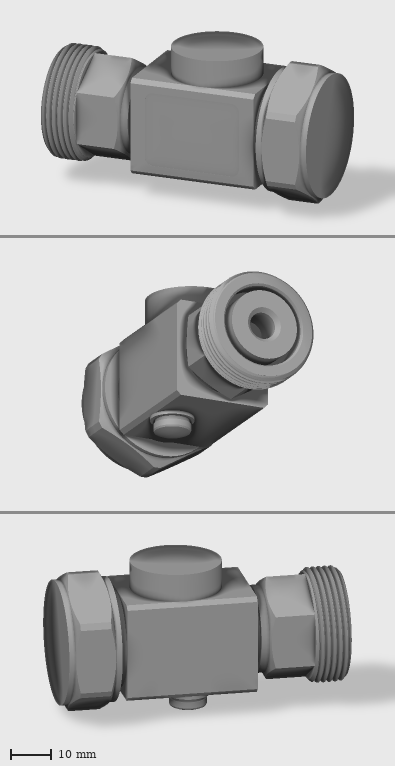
import cadquery as cq
import math


insert_face = 0.0
thread_start = 0.5
small_hex_start = 9.55
small_hex_end = 20.9
collar_end = 22.85
body_start = 24.25
body_length = 33.1
body_end = body_start + body_length
nut_start = 59.25
nut_hex_start = 60.8
nut_hex_end = 71.3
overall_length = 72.8

thread_radius = 14.5
thread_root_radius = 13.3
thread_end_radius = 13.4
thread_turns = 6
thread_pitch = (small_hex_start - thread_start) / thread_turns
thread_crest_flat = 0.1
thread_root_flat = 0.03
ridge_overlap = 0.1
crest_clearance = 0.2
thread_first_crest = 1.3
socket_mouth_radius = 10.9
socket_radius = 10.4
socket_depth = 5.8
insert_radius = 8.95
pin_hole_mouth_radius = 4.5
pin_hole_radius = 3.4
pin_hole_depth = 8.7

small_hex_across_flats = 23.4
collar_radius = 11.0
neck_radius = 9.25
flange_radius = 12.15

nut_across_flats = 32.0
nut_across_corners = 35.95
nut_ring_radius = 15.7
hex_chamfer_slope = math.tan(math.radians(60))

body_width = 25.1
body_chamfer = 1.1
label_length = 25.25
label_height = 19.1
label_corner_radius = 2.05
label_depth = 0.1

cap_x = 42.45
cap_radius = 11.5
cap_top = 19.6

screw_x = 40.6
screw_y = 6.05
washer_radius = 5.5
washer_thickness = 0.9
screw_neck_radius = 4.4
screw_neck_length = 1.0
screw_head_radius = 4.7
screw_head_height = 1.5
screw_edge_height = 0.45
screw_edge_inset = 0.2
screw_dome_height = 1.1


def disc(start, end, radius):
    """Cylinder on the main axis between two X stations."""
    return cq.Workplane("YZ").workplane(offset=start).circle(radius).extrude(end - start)


def cone(start, end, start_radius, end_radius):
    """Truncated cone on the main axis between two X stations."""
    origin = cq.Vector(start, 0, 0)
    along_x = cq.Vector(1, 0, 0)
    return cq.Workplane(cq.Solid.makeCone(start_radius, end_radius, end - start, origin, along_x))


def hexagon(start, end, across_flats):
    """Hexagonal prism on the main axis with corners at +Z and -Z."""
    corner_diameter = across_flats / math.cos(math.radians(30))
    prism = cq.Workplane("YZ").workplane(offset=start).polygon(6, corner_diameter).extrude(end - start)
    return prism.rotate((0, 0, 0), (1, 0, 0), 90)


def make_thread():
    """Right-hand external thread: a helical ridge on a plain core, tapered at both ends."""
    foot_radius = thread_root_radius - ridge_overlap
    helix_start = thread_first_crest - 2 * thread_pitch
    helix_length = small_hex_start + thread_pitch - helix_start
    path = cq.Wire.makeHelix(thread_pitch, helix_length, foot_radius)
    path = path.translate(cq.Vector(0, 0, helix_start))
    half_foot = (thread_pitch - thread_root_flat) / 2
    half_crest = thread_crest_flat / 2
    ridge = (
        cq.Workplane("XZ")
        .polyline([
            (foot_radius, helix_start - half_foot),
            (thread_radius, helix_start - half_crest),
            (thread_radius, helix_start + half_crest),
            (foot_radius, helix_start + half_foot),
        ])
        .close()
        .sweep(cq.Workplane(path), isFrenet=True)
    )
    ridge = ridge.rotate((0, 0, 0), (0, 1, 0), 90)
    envelope_radius = thread_radius + crest_clearance
    taper = envelope_radius - thread_end_radius
    envelope = (
        cq.Workplane("XY")
        .polyline([
            (thread_start, 0),
            (thread_start, thread_end_radius),
            (thread_start + taper, envelope_radius),
            (small_hex_start - taper, envelope_radius),
            (small_hex_start, thread_end_radius),
            (small_hex_start, 0),
        ])
        .close()
        .revolve(360, (0, 0, 0), (1, 0, 0))
    )
    core = disc(thread_start, small_hex_start, thread_root_radius)
    return core.union(ridge.intersect(envelope))


def cut_socket(shell):
    """Annular socket with a bevelled mouth, holding an insert with a countersunk pin hole."""
    bevel = socket_mouth_radius - socket_radius
    floor = thread_start + socket_depth
    shell = shell.cut(disc(thread_start, floor, socket_radius))
    shell = shell.cut(cone(thread_start, thread_start + bevel, socket_mouth_radius, socket_radius))
    countersink = pin_hole_mouth_radius - pin_hole_radius
    insert = disc(insert_face, floor, insert_radius)
    return (
        shell.union(insert)
        .cut(disc(insert_face, pin_hole_depth, pin_hole_radius))
        .cut(cone(insert_face, countersink, pin_hole_mouth_radius, pin_hole_radius))
    )


def make_small_hex():
    """Hexagon whose +X corners are turned down to the collar."""
    blank_radius = small_hex_across_flats / 2 / math.cos(math.radians(30))
    taper_length = (blank_radius - collar_radius) / hex_chamfer_slope
    taper_start = small_hex_end - taper_length
    blank = disc(small_hex_start, taper_start, blank_radius)
    blank = blank.union(cone(taper_start, small_hex_end, blank_radius, collar_radius))
    return hexagon(small_hex_start, small_hex_end, small_hex_across_flats).intersect(blank)


def make_nut():
    """Coupling nut: hexagon with flattened corners and both ends turned down to a ring."""
    blank_radius = nut_across_flats / 2 / math.cos(math.radians(30))
    taper_length = (blank_radius - nut_ring_radius) / hex_chamfer_slope
    taper_in = nut_hex_start + taper_length
    taper_out = nut_hex_end - taper_length
    blank = (
        cone(nut_hex_start, taper_in, nut_ring_radius, blank_radius)
        .union(disc(taper_in, taper_out, blank_radius))
        .union(cone(taper_out, nut_hex_end, blank_radius, nut_ring_radius))
    )
    corner_flats = hexagon(nut_hex_start, nut_hex_end, nut_across_corners).rotate((0, 0, 0), (1, 0, 0), 30)
    nut = hexagon(nut_hex_start, nut_hex_end, nut_across_flats).intersect(corner_flats).intersect(blank)
    return nut.union(disc(nut_start, overall_length, nut_ring_radius))


def make_body():
    """Square bar with chamfered long edges and a shallow label recess on the -Y face."""
    middle = (body_start + body_end) / 2
    body = cq.Workplane("XY").box(body_length, body_width, body_width).edges("|X").chamfer(body_chamfer)
    recess = (
        cq.Workplane("XY")
        .box(label_length, 2 * label_depth, label_height)
        .edges("|Y")
        .fillet(label_corner_radius)
        .translate((0, -body_width / 2, 0))
    )
    return body.cut(recess).translate((middle, 0, 0))


def make_cap():
    """Round cap rising from the middle of the body."""
    return cq.Workplane("XY").center(cap_x, 0).circle(cap_radius).extrude(cap_top)


def make_screw():
    """Screw with washer, neck and domed head, revolved about a vertical axis."""
    seat = -body_width / 2
    washer_bottom = seat - washer_thickness
    head_top = washer_bottom - screw_neck_length
    head_bottom = head_top - screw_head_height
    dome_rim = head_bottom - screw_edge_height
    dome_rim_radius = screw_head_radius - screw_edge_inset
    sphere_radius = (dome_rim_radius**2 + screw_dome_height**2) / (2 * screw_dome_height)
    sphere_centre = dome_rim - screw_dome_height + sphere_radius
    half_rim = dome_rim_radius / 2
    half_way = sphere_centre - math.sqrt(sphere_radius**2 - half_rim**2)
    profile = (
        cq.Workplane("XZ")
        .moveTo(0, 0)
        .lineTo(screw_neck_radius, 0)
        .lineTo(screw_neck_radius, seat)
        .lineTo(washer_radius, seat)
        .lineTo(washer_radius, washer_bottom)
        .lineTo(screw_neck_radius, washer_bottom)
        .lineTo(screw_neck_radius, head_top)
        .lineTo(screw_head_radius, head_top)
        .lineTo(screw_head_radius, head_bottom)
        .lineTo(dome_rim_radius, dome_rim)
        .threePointArc((half_rim, half_way), (0, dome_rim - screw_dome_height))
        .close()
    )
    return profile.revolve(360, (0, 0, 0), (0, 1, 0)).translate((screw_x, screw_y, 0))


result = (
    make_body()
    .union(cut_socket(make_thread()))
    .union(make_small_hex())
    .union(disc(small_hex_end, collar_end, collar_radius))
    .union(disc(collar_end, body_start, neck_radius))
    .union(make_cap())
    .union(make_screw())
    .union(disc(body_end, nut_start, flange_radius))
    .union(make_nut())
)